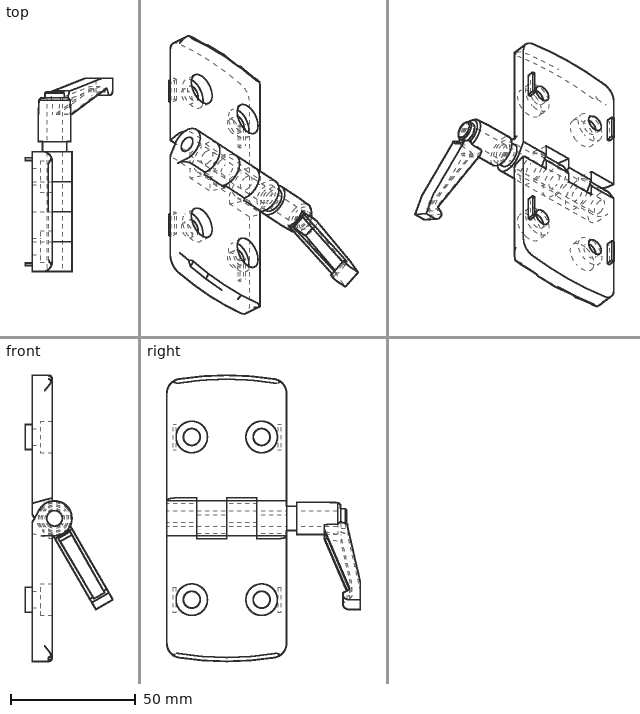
import cadquery as cq
import math


LEAF_REACH = 57.3
LEAF_WIDTH = 48.0
LEAF_THICKNESS = 8.0
BACK_X = -8.9
FRONT_X = BACK_X + LEAF_THICKNESS
END_RADIUS = 120.3
CORNER_RADIUS = 6.0
SIDE_ROUND = 4.0
END_ROUND = 1.6

KNUCKLE_RADIUS = 7.0
KNUCKLE_COUNT = 4
KNUCKLE_WIDTH = LEAF_WIDTH / KNUCKLE_COUNT
KNUCKLE_SLOPE = 60.0
GAP_SLOPE = 15.0
GAP_CLEARANCE = 1.1
PLATE_TOP = GAP_CLEARANCE - KNUCKLE_RADIUS

HOLE_Z = 32.5
HOLE_SPACING = 28.0
HOLE_DIAMETER = 6.6
HEAD_DIAMETER = 12.6
HEAD_DEPTH = 4.8
TAB_SPACING = 42.0
TAB_WIDTH = 1.1
TAB_HEIGHT = 2.9
TAB_LENGTH = 10.1

SPINDLE_RADIUS = 3.1
COLLAR_RADIUS = 4.9
COLLAR_LENGTH = 4.0
HEAD_RADIUS = 3.9
HEAD_TOP = 24.0
HEAD_CHAMFER = 0.6

HUB_RADIUS = 6.5
HUB_SHOULDER = 15.0
HUB_TAPER_TOP = 20.5
HUB_TAPER_RADIUS = 6.3
HUB_TOP = 21.5
HUB_TOP_RADIUS = 5.5
LEVER_ANGLE = 60.0
LEVER_LENGTH = 39.9
LEVER_WIDTH = 7.9
LEVER_TOP = 29.5
LEVER_RISE_START = 6.2
LEVER_RISE_HEIGHT = 24.4
LEVER_CREST = 31.6
LEVER_HEEL = 7.2
HOOK_ROOT = 35.0
HOOK_ROOT_HEIGHT = 25.3
HOOK_START = 36.7
HOOK_HEIGHT = 22.5
HOOK_ROUND = 2.5
RELIEF_RADIUS = 6.4
CHANNEL_ROOF = 3.3
CHANNEL_START = 7.7
CHANNEL_ROOF_START = 9.2
CHANNEL_CREST = 32.3
CHANNEL_END = 35.8
CHANNEL_ROUND = 2.0
CHANNEL_MOUTH_WIDTH = 5.6
CHANNEL_ROOF_WIDTH = 4.9


def leaf_outline():
    """Flat plate with one curved, round-cornered end, reaching a little way into the knuckles."""
    half = LEAF_WIDTH / 2
    arc_center_z = END_RADIUS - LEAF_REACH
    corner_y = half - CORNER_RADIUS
    reach = END_RADIUS - CORNER_RADIUS
    corner_drop = math.sqrt(reach**2 - corner_y**2)
    corner_z = arc_center_z - corner_drop
    tangent_y = corner_y * END_RADIUS / reach
    tangent_z = arc_center_z - corner_drop * END_RADIUS / reach
    bisector = (math.asin(corner_y / reach) + math.pi / 2) / 2
    mid_y = corner_y + CORNER_RADIUS * math.sin(bisector)
    mid_z = corner_z - CORNER_RADIUS * math.cos(bisector)
    return (
        cq.Workplane("YZ", origin=(BACK_X, 0, 0))
        .moveTo(-half, PLATE_TOP)
        .lineTo(-half, corner_z)
        .threePointArc((-mid_y, mid_z), (-tangent_y, tangent_z))
        .threePointArc((0, -LEAF_REACH), (tangent_y, tangent_z))
        .threePointArc((mid_y, mid_z), (half, corner_z))
        .lineTo(half, PLATE_TOP)
        .close()
        .extrude(LEAF_THICKNESS)
    )


def leaf_plate():
    side_rounded = (
        cq.Workplane("XY")
        .box(LEAF_THICKNESS, LEAF_WIDTH, 2 * LEAF_REACH)
        .edges(">X and |Z")
        .fillet(SIDE_ROUND)
        .translate(((BACK_X + FRONT_X) / 2, 0, 0))
    )
    end_rounded = (
        cq.Workplane("YZ", origin=(BACK_X, 0, 0))
        .center(0, END_RADIUS - LEAF_REACH)
        .circle(END_RADIUS)
        .extrude(LEAF_THICKNESS)
        .faces(">X")
        .edges()
        .fillet(END_ROUND)
    )
    return leaf_outline().intersect(side_rounded).intersect(end_rounded)


def knuckle_start(index):
    return -LEAF_WIDTH / 2 + index * KNUCKLE_WIDTH


def prism_along_y(points, index):
    """Extrude XZ points across one knuckle position."""
    return (
        cq.Workplane("XZ", origin=(0, knuckle_start(index), 0))
        .polyline(points)
        .close()
        .extrude(-KNUCKLE_WIDTH)
    )


def knuckle(index):
    slope = math.radians(KNUCKLE_SLOPE)
    tangent_x = -KNUCKLE_RADIUS * math.sin(slope)
    tangent_z = KNUCKLE_RADIUS * math.cos(slope)
    flank_foot_z = tangent_z - (tangent_x - BACK_X) * math.tan(slope)
    web = prism_along_y(
        [
            (0, 0),
            (tangent_x, tangent_z),
            (BACK_X, flank_foot_z),
            (BACK_X, -KNUCKLE_RADIUS),
            (0, -KNUCKLE_RADIUS),
        ],
        index,
    )
    barrel = (
        cq.Workplane("XZ", origin=(0, knuckle_start(index), 0))
        .circle(KNUCKLE_RADIUS)
        .extrude(-KNUCKLE_WIDTH)
    )
    return web.union(barrel)


def knuckle_gap(index):
    """Room for the other leaf's knuckle, with a sloping floor."""
    slope = math.radians(GAP_SLOPE)
    floor_offset = (KNUCKLE_RADIUS + GAP_CLEARANCE) / math.cos(slope)
    back_z = -floor_offset - BACK_X * math.tan(slope)
    front_z = -floor_offset - FRONT_X * math.tan(slope)
    return prism_along_y([(BACK_X, back_z), (FRONT_X, front_z), (FRONT_X, 0), (BACK_X, 0)], index)


def screw_holes():
    spots = [(-HOLE_SPACING / 2, -HOLE_Z), (HOLE_SPACING / 2, -HOLE_Z)]
    through = (
        cq.Workplane("YZ", origin=(BACK_X, 0, 0))
        .pushPoints(spots)
        .circle(HOLE_DIAMETER / 2)
        .extrude(LEAF_THICKNESS)
    )
    heads = (
        cq.Workplane("YZ", origin=(FRONT_X, 0, 0))
        .pushPoints(spots)
        .circle(HEAD_DIAMETER / 2)
        .extrude(-HEAD_DEPTH)
    )
    return through.union(heads)


def locating_tabs():
    return (
        cq.Workplane("YZ", origin=(BACK_X, 0, 0))
        .pushPoints([(-TAB_SPACING / 2, -HOLE_Z), (TAB_SPACING / 2, -HOLE_Z)])
        .rect(TAB_WIDTH, TAB_LENGTH)
        .extrude(-TAB_HEIGHT)
    )


def hinge_leaf(first_knuckle):
    """Leaf hanging below the hinge axis, with every second knuckle from first_knuckle."""
    leaf = leaf_plate()
    for index in range(KNUCKLE_COUNT):
        if index % 2 == first_knuckle:
            leaf = leaf.union(knuckle(index))
        else:
            leaf = leaf.cut(knuckle_gap(index))
    bore = (
        cq.Workplane("XZ", origin=(0, -LEAF_WIDTH / 2, 0))
        .circle(SPINDLE_RADIUS)
        .extrude(-LEAF_WIDTH)
    )
    return leaf.cut(screw_holes()).union(locating_tabs()).cut(bore)


def revolve_about_y(points):
    """Revolve (radius, height) points about the hinge axis."""
    return (
        cq.Workplane("XY", origin=(0, LEAF_WIDTH / 2, 0))
        .polyline(points)
        .close()
        .revolve(360, (0, 0, 0), (0, 1, 0))
    )


def make_spindle():
    return revolve_about_y(
        [
            (0, -LEAF_WIDTH),
            (SPINDLE_RADIUS, -LEAF_WIDTH),
            (SPINDLE_RADIUS, 0),
            (COLLAR_RADIUS, 0),
            (COLLAR_RADIUS, COLLAR_LENGTH),
            (SPINDLE_RADIUS, COLLAR_LENGTH),
            (SPINDLE_RADIUS, HUB_TOP),
            (HEAD_RADIUS, HUB_TOP),
            (HEAD_RADIUS, HEAD_TOP - HEAD_CHAMFER),
            (HEAD_RADIUS - HEAD_CHAMFER, HEAD_TOP),
            (0, HEAD_TOP),
        ]
    )


def lever_side():
    """Workplane for lever side profiles (distance from axis, height), on the face of one flank."""
    return cq.Workplane("XY", origin=(0, LEAF_WIDTH / 2, -LEVER_WIDTH / 2))


def lever_arm():
    tip_round_start = LEVER_LENGTH - HOOK_ROUND
    sag = HOOK_ROUND * (1 - math.sqrt(0.5))
    arm = (
        lever_side()
        .moveTo(0, HUB_SHOULDER)
        .lineTo(LEVER_HEEL, HUB_SHOULDER)
        .lineTo(HOOK_ROOT, HOOK_ROOT_HEIGHT)
        .lineTo(HOOK_START, HOOK_HEIGHT)
        .lineTo(tip_round_start, HOOK_HEIGHT)
        .threePointArc(
            (LEVER_LENGTH - sag, HOOK_HEIGHT + sag), (LEVER_LENGTH, HOOK_HEIGHT + HOOK_ROUND)
        )
        .lineTo(LEVER_LENGTH, LEVER_TOP)
        .lineTo(LEVER_CREST, LEVER_TOP)
        .lineTo(LEVER_RISE_START, LEVER_RISE_HEIGHT)
        .lineTo(0, LEVER_RISE_HEIGHT)
        .close()
        .extrude(LEVER_WIDTH)
    )
    head_relief = revolve_about_y(
        [
            (0, HUB_TOP),
            (HUB_TOP_RADIUS, HUB_TOP),
            (RELIEF_RADIUS, LEVER_RISE_HEIGHT),
            (0, LEVER_RISE_HEIGHT),
        ]
    )
    return arm.cut(head_relief)


def lever_channel():
    """Hollow in the lever's underside, with drafted side walls and a rounded outer end."""
    rise = (LEVER_TOP - LEVER_RISE_HEIGHT) / (LEVER_CREST - LEVER_RISE_START)
    roof_height = LEVER_TOP - CHANNEL_ROOF
    roof_start_height = roof_height - (CHANNEL_CREST - CHANNEL_ROOF_START) * rise
    sag = CHANNEL_ROUND * (1 - math.sqrt(0.5))
    side_profile = (
        lever_side()
        .moveTo(CHANNEL_START, HUB_SHOULDER)
        .lineTo(CHANNEL_ROOF_START, roof_start_height)
        .lineTo(CHANNEL_CREST, roof_height)
        .lineTo(CHANNEL_END - CHANNEL_ROUND, roof_height)
        .threePointArc((CHANNEL_END - sag, roof_height - sag), (CHANNEL_END, roof_height - CHANNEL_ROUND))
        .lineTo(CHANNEL_END, HUB_SHOULDER)
        .close()
        .extrude(LEVER_WIDTH)
    )
    mouth = CHANNEL_MOUTH_WIDTH / 2
    roof = CHANNEL_ROOF_WIDTH / 2
    drafted_bar = (
        cq.Workplane("YZ", origin=(0, LEAF_WIDTH / 2, 0))
        .polyline([(HUB_SHOULDER, -mouth), (HUB_SHOULDER, mouth), (roof_height, roof), (roof_height, -roof)])
        .close()
        .extrude(LEVER_LENGTH)
    )
    return side_profile.intersect(drafted_bar)


def make_handle():
    hub = revolve_about_y(
        [
            (0, COLLAR_LENGTH),
            (HUB_RADIUS, COLLAR_LENGTH),
            (HUB_RADIUS, HUB_SHOULDER),
            (HUB_TAPER_RADIUS, HUB_TAPER_TOP),
            (HUB_TOP_RADIUS, HUB_TOP),
            (0, HUB_TOP),
        ]
    )
    bore = (
        cq.Workplane("XZ", origin=(0, LEAF_WIDTH / 2, 0))
        .circle(SPINDLE_RADIUS)
        .extrude(-HUB_TOP)
    )
    handle = lever_arm().cut(lever_channel()).union(hub).cut(bore)
    return handle.rotate((0, 0, 0), (0, 1, 0), LEVER_ANGLE)


lower_leaf = hinge_leaf(first_knuckle=0)
upper_leaf = hinge_leaf(first_knuckle=1).mirror("XY")
spindle = make_spindle()
handle = make_handle()

result = cq.Compound.makeCompound(
    [lower_leaf.val(), upper_leaf.val(), spindle.val(), handle.val()]
)